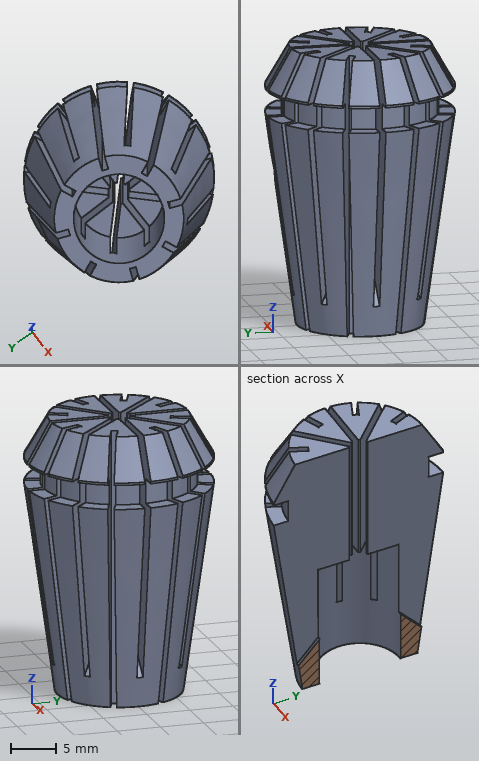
import cadquery as cq
import math

length = 31.5
max_radius = 10.5
body_half_angle = 8.0
head_half_angle = 30.0

head_height = 4.8
head_rim_height = 0.25
groove_width = 2.8
groove_radius = 8.7

bore_radius = 1.2
relief_radius = 5.0
relief_depth = length / 2

slots_per_set = 8
slot_width = 0.7
through_slot_floor_radius = 5.7
clamp_slot_outer_z = 3.5
clamp_slot_inner_z = 6.3

groove_top_z = length - head_height
groove_bottom_z = groove_top_z - groove_width
rim_top_z = groove_top_z + head_rim_height
slot_pitch = 360.0 / slots_per_set


def body_radius(z):
    """Radius of the long taper at height z."""
    return max_radius - (groove_bottom_z - z) * math.tan(math.radians(body_half_angle))


nose_radius = max_radius - (length - rim_top_z) * math.tan(math.radians(head_half_angle))


def make_body():
    """Turned outside shape: long taper, extraction groove and nose taper."""
    profile = [
        (0, 0),
        (body_radius(0), 0),
        (max_radius, groove_bottom_z),
        (groove_radius, groove_bottom_z),
        (groove_radius, groove_top_z),
        (max_radius, groove_top_z),
        (max_radius, rim_top_z),
        (nose_radius, length),
        (0, length),
    ]
    return cq.Workplane("XZ").polyline(profile).close().revolve(360, (0, 0, 0), (0, 1, 0))


def make_bore():
    """Clamping bore along the axis with a wider relief from the bottom."""
    clamping_bore = cq.Workplane("XY").circle(bore_radius).extrude(length)
    relief = cq.Workplane("XY").circle(relief_radius).extrude(relief_depth)
    return clamping_bore.union(relief)


def make_radial_slot(outline, angle):
    """Slot cutter from a (radius, z) outline, turned about Z to the given angle."""
    slot = cq.Workplane("XZ").polyline(outline).close().extrude(slot_width / 2, both=True)
    return slot.rotate((0, 0, 0), (0, 0, 1), angle)


def cut_slot_set(part, outline, first_angle):
    """Cut one evenly spaced set of radial slots."""
    for index in range(slots_per_set):
        part = part.cut(make_radial_slot(outline, first_angle + index * slot_pitch))
    return part


clamp_slot_outer_radius = body_radius(clamp_slot_outer_z)
end_slope = (clamp_slot_inner_z - clamp_slot_outer_z) / (clamp_slot_outer_radius - relief_radius)
clamp_slot_low_z = clamp_slot_inner_z - end_slope * (max_radius - relief_radius)
clamp_slot_outline = [
    (0, clamp_slot_inner_z),
    (relief_radius, clamp_slot_inner_z),
    (max_radius, clamp_slot_low_z),
    (max_radius, length),
    (0, length),
]

through_slot_outline = [
    (through_slot_floor_radius, 0),
    (max_radius, 0),
    (max_radius, length),
    (through_slot_floor_radius, length),
]

result = make_body().cut(make_bore())
result = cut_slot_set(result, clamp_slot_outline, 0)
result = cut_slot_set(result, through_slot_outline, slot_pitch / 2)